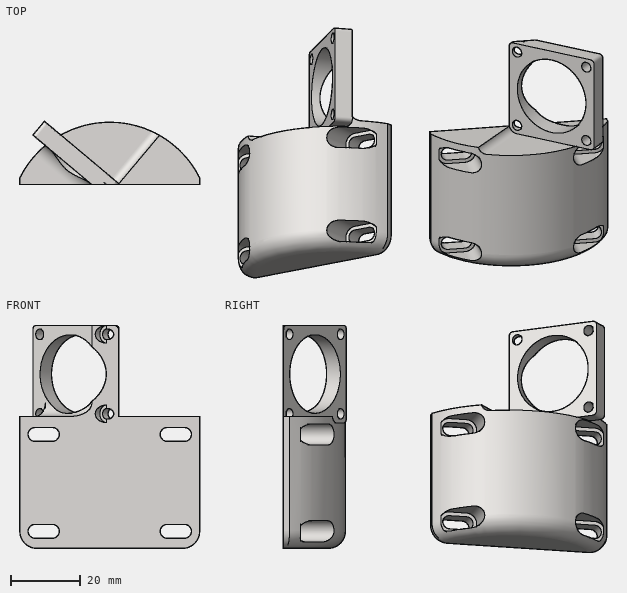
import cadquery as cq
import math

base_width = 52.05
base_height = 38.2
base_depth = 18.05
back_radius = 29.05
bottom_round = 5.05
arc_center_y = base_depth - back_radius

slot_length = 9.0
slot_width = 3.95
slot_offset_x = 19.1
slot_low_z = 5.0
slot_spacing_z = 28.0
slot_wall = 5.05
recess_margin = 1.1

total_height = 64.5
plate_size = 28.2
plate_thickness = 5.2
plate_angle = 40.0
plate_corner_radius = 1.2
overall_depth = 18.3
plate_end_x = 2.7
plate_end_y = overall_depth - plate_size * math.sin(math.radians(plate_angle))
plate_bottom_z = total_height - plate_size
plate_mid_z = total_height - plate_size / 2
bore_diameter = 22.7
screw_spacing = 23.0
screw_diameter = 3.05
head_diameter = 5.1
head_seat = 2.5
web_fillet = 3.9
pocket_round = 2.5

reach = 64.5


def place(shape):
    """Move a shape from plate axes (back end corner at the origin) onto the part."""
    turned = shape.rotate((0, 0, 0), (0, 0, 1), -plate_angle)
    return turned.translate((plate_end_x, plate_end_y, 0))


def box(x0, x1, y0, y1, z0, z1):
    return cq.Workplane("XY").box(x1 - x0, y1 - y0, z1 - z0, centered=False).translate((x0, y0, z0))


def back_cylinder(height):
    return cq.Workplane("XY").center(0, arc_center_y).circle(back_radius).extrude(height)


def base_block():
    half = base_width / 2
    front = box(-half, half, 0, base_depth, 0, base_height)
    front = front.edges("|Y and <Z").fillet(bottom_round)
    back = back_cylinder(base_height).faces("<Z").edges().fillet(bottom_round)
    return front.intersect(back)


def slot(length, width, start_y, x, z):
    profile = cq.Workplane("XZ", origin=(x, start_y, z)).slot2D(length, width)
    return profile.extrude(-reach)


def plate_cylinder(diameter, u, z, front_y, back_y):
    """Cylinder square to the plate, given in plate axes."""
    profile = cq.Workplane("XZ", origin=(u, front_y, z)).circle(diameter / 2)
    return place(profile.extrude(front_y - back_y))


def motor_plate():
    plate = box(-plate_size, 0, -plate_thickness, 0, plate_bottom_z, total_height)
    return place(plate.edges("|Y").fillet(plate_corner_radius))


def motor_pocket():
    """Clearance for the motor body behind the plate, rounded along its lower side."""
    pocket = box(-reach, 0, 0, reach, plate_bottom_z, total_height)
    return place(pocket.edges(">X and <Z").fillet(pocket_round))


def plate_web():
    """Concave fillet from the block top up to the plate front, ending on the back curve."""
    front_y = -plate_thickness
    profile = (
        cq.Workplane("YZ", origin=(-reach, 0, 0))
        .moveTo(front_y, base_height)
        .lineTo(front_y - web_fillet, base_height)
        .radiusArc((front_y, base_height + web_fillet), -web_fillet)
        .close()
    )
    return place(profile.extrude(reach)).intersect(back_cylinder(total_height))


body = base_block().cut(motor_pocket())
body = body.union(motor_plate()).union(plate_web())

body = body.cut(box(-reach, reach, -reach, 0, 0, total_height))

for slot_x in (-slot_offset_x, slot_offset_x):
    for slot_z in (slot_low_z, slot_low_z + slot_spacing_z):
        body = body.cut(slot(slot_length, slot_width, 0, slot_x, slot_z))
        recess_length = slot_length + 2 * recess_margin
        recess_width = slot_width + 2 * recess_margin
        body = body.cut(slot(recess_length, recess_width, slot_wall, slot_x, slot_z))

plate_mid_u = -plate_size / 2
body = body.cut(plate_cylinder(bore_diameter, plate_mid_u, plate_mid_z, -reach, 0))
for screw_z in (plate_mid_z - screw_spacing / 2, plate_mid_z + screw_spacing / 2):
    near_u = plate_mid_u + screw_spacing / 2
    far_u = plate_mid_u - screw_spacing / 2
    body = body.cut(plate_cylinder(screw_diameter, far_u, screw_z, -plate_thickness, 0))
    body = body.cut(plate_cylinder(screw_diameter, near_u, screw_z, -plate_thickness, 0))
    body = body.cut(plate_cylinder(head_diameter, near_u, screw_z, -plate_thickness, -head_seat))

result = body